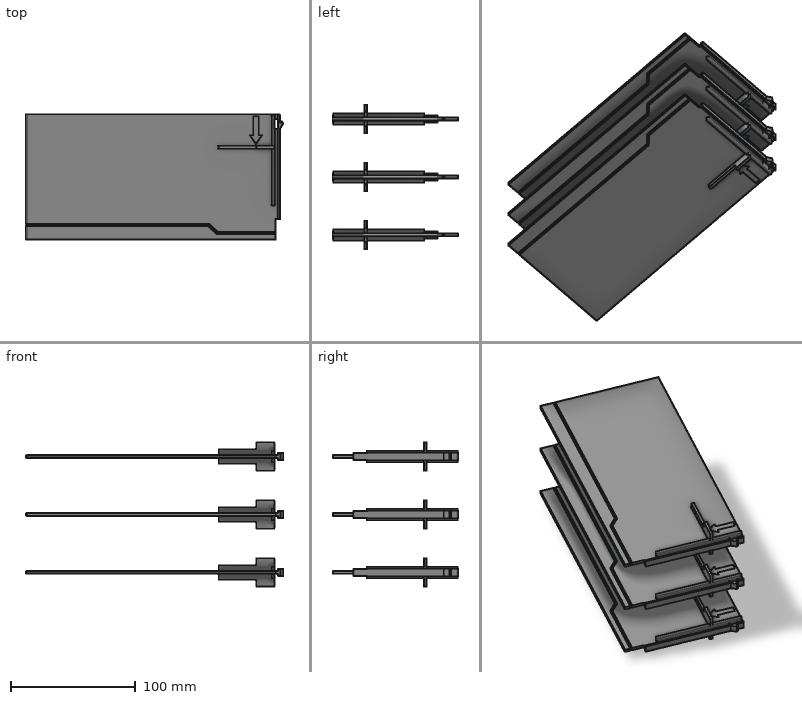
import cadquery as cq
import math

PANEL_COUNT = 3
PITCH = 46.5

DEPTH = 101.0
THICKNESS = 2.5
HALF_THICKNESS = THICKNESS / 2
PLATE_LENGTH = 200.5
FRONT_CHAMFER = 0.5

RIM_RIGHT = 204.3
RIM_LEFT = 202.5
RIM_FRONT = 16.5
RIM_HEIGHT = 5.8
RIM_ROOT_RADIUS = 0.8
RIM_TOP_RADIUS = 0.72
RIM_CORNER_RADIUS = 1.2

HOOK_TIP = 206.8
HOOK_BARB = 205.4
HOOK_BACK = 94.0
HOOK_BARB_BACK = 95.3
HOOK_TIP_Y = 93.5
HOOK_FRONT = 89.1

SLOT_LEFT = 199.8
SLOT_RIGHT = 202.5
SLOT_FRONT = 89.1
SLOT_BACK = 97.0
SLOT_CORNER_RADIUS = 0.8

RIB_LEFT = 197.5
RIB_RIGHT = 199.8
RIB_FRONT = 27.3
RIB_BACK = 100.5
RIB_HEIGHT = 9.5
RIB_CORNER_RADIUS = 0.8
RIB_TOP_RADIUS = 0.72
RIB_ROOT_RADIUS = 0.5

TAB_LEFT = 154.9
TAB_STEP = 185.0
TAB_RIGHT = 199.8
TAB_FRONT = 73.2
TAB_THICKNESS = 2.3
TAB_LOW_HEIGHT = 11.8
TAB_HIGH_HEIGHT = 23.0
TAB_RADIUS = 0.8
TAB_ROOT_RADIUS = 0.6

GROOVE_WIDTH = 1.9
GROOVE_DEPTH = 0.3
GROOVE_FLOOR = 0.6
GROOVE_LEFT_Y = 12.0
GROOVE_RIGHT_Y = 5.5
GROOVE_BEND_START = 146.8
GROOVE_BEND_END = 153.7
GROOVE_OVERRUN = 2.0

ARROW_X = 184.9
ARROW_BACK = 99.0
ARROW_SHOULDER = 84.2
ARROW_TIP = 77.0
ARROW_SHAFT_WIDTH = 4.5
ARROW_HEAD_WIDTH = 10.1
ARROW_DEPTH = 0.2


def box_between(x_left, x_right, y_front, y_back, height):
    """Box between the given sides, centred on the mid-plane."""
    return (
        cq.Workplane("XY")
        .box(x_right - x_left, y_back - y_front, height, centered=(False, False, True))
        .translate((x_left, y_front, 0))
    )


def both_faces(tool):
    """A tool for the upper face together with its mirror image for the lower face."""
    return tool.union(tool.mirror("XY"))


def make_plate():
    """Plate with a half-round left end and a chamfered front edge."""
    plate = (
        cq.Workplane("XZ")
        .moveTo(PLATE_LENGTH, -HALF_THICKNESS)
        .lineTo(HALF_THICKNESS, -HALF_THICKNESS)
        .threePointArc((0, 0), (HALF_THICKNESS, HALF_THICKNESS))
        .lineTo(PLATE_LENGTH, HALF_THICKNESS)
        .close()
        .extrude(-DEPTH)
    )
    return plate.faces("<Y").edges("|X").chamfer(FRONT_CHAMFER)


def make_root_fillet(wall_x, outward, y_front, y_back, radius):
    """Concave fillet between the plate and a wall along Y; outward is the side it lies on."""
    top = HALF_THICKNESS + radius
    foot_x = wall_x + outward * radius
    arc_inset = radius * (1 - math.sqrt(0.5))
    fillet = (
        cq.Workplane("XZ", origin=(0, y_back, 0))
        .moveTo(wall_x, 0)
        .lineTo(foot_x, 0)
        .lineTo(foot_x, HALF_THICKNESS)
        .threePointArc(
            (wall_x + outward * arc_inset, HALF_THICKNESS + arc_inset),
            (wall_x, top),
        )
        .close()
        .extrude(y_back - y_front)
    )
    return both_faces(fillet)


def make_rim():
    """Thick rim with rounded inner and front edges, joined to the plate by a web and a root fillet."""
    rim = box_between(RIM_LEFT, RIM_RIGHT, RIM_FRONT, DEPTH, RIM_HEIGHT)
    rim = rim.edges(">X and >Y").fillet(RIM_CORNER_RADIUS)
    rim = rim.edges("(<X and |Y) or (<Y and |X)").fillet(RIM_TOP_RADIUS)
    web = box_between(PLATE_LENGTH, RIM_LEFT, RIM_FRONT, DEPTH, THICKNESS)
    root = make_root_fillet(RIM_LEFT, -1, RIM_FRONT, DEPTH, RIM_ROOT_RADIUS)
    return rim.union(web).union(root)


def make_hook():
    """Pointed latch hook, as high as the rim."""
    return (
        cq.Workplane("XY")
        .polyline([
            (RIM_RIGHT, HOOK_FRONT),
            (HOOK_TIP, HOOK_TIP_Y),
            (HOOK_BARB, HOOK_BARB_BACK),
            (HOOK_BARB, HOOK_BACK),
            (RIM_RIGHT, HOOK_BACK),
        ])
        .close()
        .extrude(RIM_HEIGHT / 2, both=True)
    )


def make_slot():
    """Cutter for the through slot that frees the rim at the hook."""
    slot = box_between(SLOT_LEFT, SLOT_RIGHT, SLOT_FRONT, SLOT_BACK, RIM_HEIGHT)
    return slot.edges("|Z").fillet(SLOT_CORNER_RADIUS)


def make_rib():
    """Rounded rib that stands on both faces of the plate."""
    rib = box_between(RIB_LEFT, RIB_RIGHT, RIB_FRONT, RIB_BACK, RIB_HEIGHT)
    rib = rib.edges("|Z").fillet(RIB_CORNER_RADIUS)
    rib = rib.faces("<Z or >Z").edges().fillet(RIB_TOP_RADIUS)
    straight_front = RIB_FRONT + RIB_CORNER_RADIUS
    straight_back = RIB_BACK - RIB_CORNER_RADIUS
    for wall_x, outward in ((RIB_LEFT, -1), (RIB_RIGHT, 1)):
        root = make_root_fillet(wall_x, outward, straight_front, straight_back, RIB_ROOT_RADIUS)
        rib = rib.union(root)
    return rib


def make_tab():
    """Stepped upright tab with rounded corners and a small fillet at its left foot."""
    tab_back = TAB_FRONT + TAB_THICKNESS
    low = box_between(TAB_LEFT, TAB_STEP, TAB_FRONT, tab_back, TAB_LOW_HEIGHT)
    high = box_between(TAB_STEP, TAB_RIGHT, TAB_FRONT, tab_back, TAB_HIGH_HEIGHT)
    tab = low.union(high).edges("|Y").fillet(TAB_RADIUS)
    root = make_root_fillet(TAB_LEFT, -1, TAB_FRONT, tab_back, TAB_ROOT_RADIUS)
    return tab.union(root)


def make_groove():
    """Cutter for the tapered groove on both faces and around the rounded left end."""
    slope = math.atan2(GROOVE_LEFT_Y - GROOVE_RIGHT_Y, GROOVE_BEND_END - GROOVE_BEND_START)
    half_width = GROOVE_WIDTH / 2
    half_floor = GROOVE_FLOOR / 2
    miter_shift = half_width * math.tan(slope / 2)
    left_end = -GROOVE_OVERRUN
    right_end = PLATE_LENGTH + GROOVE_OVERRUN
    taper = math.degrees(math.atan2(half_width - half_floor, GROOVE_DEPTH))
    face_groove = (
        cq.Workplane("XY", origin=(0, 0, HALF_THICKNESS))
        .polyline([
            (left_end, GROOVE_LEFT_Y + half_width),
            (GROOVE_BEND_START + miter_shift, GROOVE_LEFT_Y + half_width),
            (GROOVE_BEND_END + miter_shift, GROOVE_RIGHT_Y + half_width),
            (right_end, GROOVE_RIGHT_Y + half_width),
            (right_end, GROOVE_RIGHT_Y - half_width),
            (GROOVE_BEND_END - miter_shift, GROOVE_RIGHT_Y - half_width),
            (GROOVE_BEND_START - miter_shift, GROOVE_LEFT_Y - half_width),
            (left_end, GROOVE_LEFT_Y - half_width),
        ])
        .close()
        .extrude(-GROOVE_DEPTH, taper=taper)
    )
    end_groove = (
        cq.Workplane("XY")
        .polyline([
            (0, GROOVE_LEFT_Y - half_width),
            (GROOVE_DEPTH, GROOVE_LEFT_Y - half_floor),
            (GROOVE_DEPTH, GROOVE_LEFT_Y + half_floor),
            (0, GROOVE_LEFT_Y + half_width),
        ])
        .close()
        .revolve(360, (HALF_THICKNESS, 0), (HALF_THICKNESS, 1))
        .intersect(box_between(0, HALF_THICKNESS, 0, DEPTH, THICKNESS))
    )
    return both_faces(face_groove).union(end_groove)


def make_arrow():
    """Cutter for the shallow arrow on both faces."""
    half_shaft = ARROW_SHAFT_WIDTH / 2
    half_head = ARROW_HEAD_WIDTH / 2
    arrow = (
        cq.Workplane("XY", origin=(ARROW_X, 0, HALF_THICKNESS))
        .polyline([
            (-half_shaft, ARROW_BACK),
            (half_shaft, ARROW_BACK),
            (half_shaft, ARROW_SHOULDER),
            (half_head, ARROW_SHOULDER),
            (0, ARROW_TIP),
            (-half_head, ARROW_SHOULDER),
            (-half_shaft, ARROW_SHOULDER),
        ])
        .close()
        .extrude(-ARROW_DEPTH)
    )
    return both_faces(arrow)


def make_panel():
    """One complete panel, centred on Z = 0."""
    panel = make_plate().cut(make_groove()).cut(make_arrow())
    panel = panel.union(make_rim()).union(make_hook())
    panel = panel.union(make_rib())
    panel = panel.cut(make_slot())
    return panel.union(make_tab())


panel = make_panel()
panels = []
for level in range(PANEL_COUNT):
    panels.append(panel.translate((0, 0, level * PITCH)).val())

result = cq.Compound.makeCompound(panels)